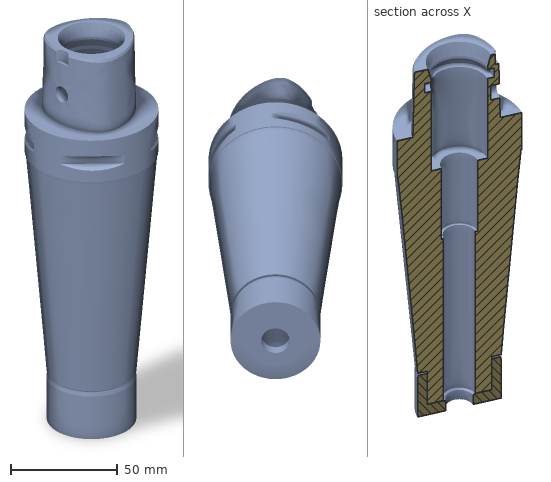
import cadquery as cq
import math

total_height = 203.0
flange_top = 165.0
flange_bottom = 143.0
body_bottom = 25.5
nut_top = 24.5
neck_bottom = 6.0

flange_radius = 31.5
nut_radius = 21.1
cone_top_radius = 31.0
neck_radius = 16.5

lobe_height = 1.52
shank_base_radius = 22.1
shank_top_radius = 21.3
shank_chamfer_height = 1.2
shank_chamfer_width = 0.6
shank_curve_points = 24

mouth_radius = 15.8
bore_radius = 14.0
groove_radius = 17.3
mouth_taper_depth = 7.0
groove_start_depth = 8.3
groove_end_depth = 13.4
bore_floor = flange_bottom
middle_bore_radius = 9.1
middle_bore_floor = 101.5
lower_bore_radius = 8.0

notch_radius = 5.7
notch_inner_y = -18.0
notch_depth = 6.0
side_hole_radius = 4.0
side_hole_z = 180.7
side_hole_floor_y = -15.8

slot_count = 4
slot_z = 152.9
slot_floor_distance = 27.6
slot_floor_height = 4.3
slot_rim_height = 7.7
slot_length = 2 * math.sqrt(flange_radius**2 - slot_floor_distance**2)

nut_hole_radius = 6.7
nut_hole_chamfer = 0.6
nut_chamfer_width = 0.5
nut_chamfer_height = 1.8


def revolve_profile(points):
    """Turn a radius-height outline about the Z axis."""
    return cq.Workplane("XZ").polyline(points).close().revolve(360, (0, 0, 0), (0, 1, 0))


def shank_section(mean_radius, height):
    """Constant-width three-lobed wire with one lobe toward +Y."""

    points = []
    for index in range(shank_curve_points):
        angle = 2 * math.pi * index / shank_curve_points
        support = mean_radius - lobe_height * math.sin(3 * angle)
        slope = -3 * lobe_height * math.cos(3 * angle)
        x = support * math.cos(angle) - slope * math.sin(angle)
        y = support * math.sin(angle) + slope * math.cos(angle)
        points.append(cq.Vector(x, y, height))
    return cq.Wire.assembleEdges([cq.Edge.makeSpline(points, periodic=True)])


def make_shank():
    chamfer_start = total_height - shank_chamfer_height
    base = shank_section(shank_base_radius, flange_top)
    shoulder = shank_section(shank_top_radius, chamfer_start)
    top = shank_section(shank_top_radius - shank_chamfer_width, total_height)
    return cq.Workplane(cq.Solid.makeLoft([base, shoulder, top], True))


def make_outer_body():
    return revolve_profile([
        (0, neck_bottom),
        (neck_radius, neck_bottom),
        (neck_radius, body_bottom),
        (nut_radius, body_bottom),
        (cone_top_radius, flange_bottom),
        (flange_radius, flange_bottom),
        (flange_radius, flange_top),
        (0, flange_top),
    ])


def make_bore():
    groove_top = total_height - groove_start_depth
    groove_bottom = total_height - groove_end_depth
    return revolve_profile([
        (0, total_height),
        (mouth_radius, total_height),
        (bore_radius, total_height - mouth_taper_depth),
        (bore_radius, groove_top),
        (groove_radius, groove_top),
        (groove_radius, groove_bottom),
        (bore_radius, groove_bottom),
        (bore_radius, bore_floor),
        (middle_bore_radius, bore_floor),
        (middle_bore_radius, middle_bore_floor),
        (lower_bore_radius, middle_bore_floor),
        (lower_bore_radius, neck_bottom),
        (0, neck_bottom),
    ])


def make_notch():
    return (
        cq.Workplane("XY", origin=(0, notch_inner_y - notch_radius, total_height))
        .circle(notch_radius)
        .extrude(-notch_depth)
    )


def make_side_hole():
    return (
        cq.Workplane("XZ", origin=(0, side_hole_floor_y, side_hole_z))
        .circle(side_hole_radius)
        .extrude(flange_radius + side_hole_floor_y)
    )


def make_gripper_slot(angle):
    """Cutter with a flat floor and walls that flare outward."""
    floor_half = slot_floor_height / 2
    rim_half = slot_rim_height / 2
    return (
        cq.Workplane("XZ")
        .polyline([
            (slot_floor_distance, slot_z - floor_half),
            (flange_radius, slot_z - rim_half),
            (flange_radius, slot_z + rim_half),
            (slot_floor_distance, slot_z + floor_half),
        ])
        .close()
        .extrude(slot_length / 2, both=True)
        .rotate((0, 0, 0), (0, 0, 1), angle)
    )


def make_body():
    body = make_outer_body().union(make_shank())
    body = body.cut(make_bore()).cut(make_notch()).cut(make_side_hole())
    spacing = 360 / slot_count
    for index in range(slot_count):
        body = body.cut(make_gripper_slot((index + 0.5) * spacing))
    return body


def make_nut():
    """Cap with a recess that receives the neck of the body."""
    return revolve_profile([
        (nut_hole_radius, 0),
        (nut_radius, 0),
        (nut_radius, nut_top - nut_chamfer_height),
        (nut_radius - nut_chamfer_width, nut_top),
        (neck_radius, nut_top),
        (neck_radius, neck_bottom),
        (nut_hole_radius + nut_hole_chamfer, neck_bottom),
        (nut_hole_radius, neck_bottom - nut_hole_chamfer),
    ])


body = make_body()
nut = make_nut()
result = cq.Compound.makeCompound([body.val(), nut.val()])